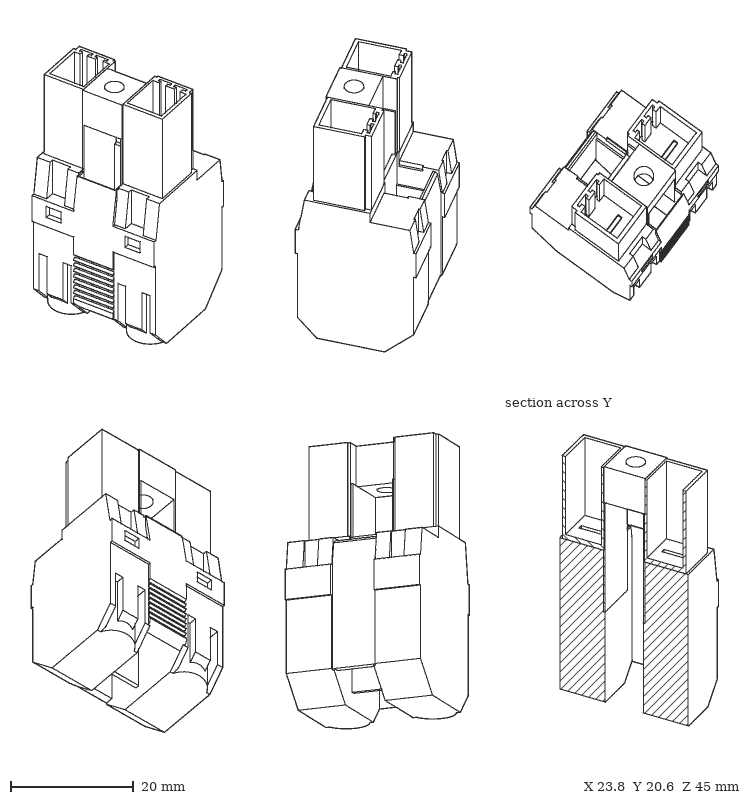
import cadquery as cq
housing_width = 23.75
total_height = 45.0
insert_width = 7.65
channel_half = insert_width / 2
tower_outer_x = channel_half + insert_width
tower_axis_x = insert_width
gap_half = 3.5

cap_z = 29.15
seat_z = 28.85
cross_wall_z = 29.05
rear_top_z = 27.25
band_top_z = 22.45
band_bottom_z = 17.35
window_top_z = 38.12

band_y = 10.3
module_y = 9.9
front_cap_y = -8.75
front_ledge_y = -9.75
rear_cap_y = 9.25
step_y = 2.48
front_chamfer_y = -6.6
front_chamfer_z = 3.65
rear_chamfer = 4.95

panel_inner_y = -9.1
panel_slope_y = -9.23
panel_bottom_z = 2.85
panel_lip_y = -10.0
panel_lip_z = 3.8
panel_round_z = 4.5
grip_top_z = 13.8
grip_pitch = 1.1
grip_tooth_count = 7
grip_valley_height = 0.3
rear_wall_outer_y = 9.68
rear_wall_shoulder_y = 9.1
rear_wall_crest_y = 8.65
rear_wall_inner_y = 8.3
rear_wall_shoulder_z = 26.35
rear_wall_top_z = 26.8

cross_wall_front_y = 1.45
cross_wall_back_y = 2.15
recess_half = 4.25
recess_back_y = 6.53
recess_floor_z = 26.35

boss_radius = 3.85
boss_front_y = -8.9
boss_axis_y = boss_front_y + boss_radius
groove_top_z = 11.05
groove_width = 1.55
groove_spacing = 4.7
front_notch_width = 3.45
front_notch_y = -8.0
rear_notch_width = 2.55
rear_notch_y = 9.05
latch_width = 2.93
latch_height = 2.2
latch_bottom_z = 19.17
latch_depth = 0.95

tower_front_y = -7.3
tower_corner_x = 0.45
tower_corner_y = 1.05
cavity_outer_x = 10.85
cavity_inner_x = 4.25
cavity_front_y = -6.55
cavity_outer_back_y = 0.7
cavity_inner_back_y = 1.0
floor_thickness = 0.9
key_front_y = 0.85
key_width = 1.65
slot_neck_y = 1.45
slot_back_y = 1.9
slot_head_width = 2.3
slot_pitch = 2.95
slot_neck_inner_x = 5.5
slot_neck_outer_x = 9.7
contact_slot_width = 4.4
contact_slot_thickness = 0.75
contact_slot_y = -3.15

block_front_y = -7.55
block_back_y = -0.23
leg_back_y = 1.9
leg_bottom_z = band_bottom_z
screw_hole_radius = 1.6
screw_hole_y = -3.95


def box(x0, x1, y0, y1, z0, z1):
    """Box between two opposite corners."""
    return cq.Workplane("XY").box(x1 - x0, y1 - y0, z1 - z0, centered=False).translate((x0, y0, z0))


def sided_box(side, x_inner, x_outer, y0, y1, z0, z1):
    """Box on one side of the part: side is -1 or 1, x distances are from the middle."""
    x0, x1 = sorted((side * x_inner, side * x_outer))
    return box(x0, x1, y0, y1, z0, z1)


def extrude_along_x(sketch, x0, x1):
    """Solid from a closed (Y, Z) outline."""
    return sketch.extrude(x1 - x0).translate((x0, 0, 0))


def module(side):
    outline = cq.Workplane("YZ").polyline([
        (front_chamfer_y, 0),
        (-module_y, front_chamfer_z),
        (-module_y, band_bottom_z),
        (-band_y, band_bottom_z),
        (-band_y, band_top_z),
        (front_ledge_y, band_top_z),
        (front_cap_y, cap_z),
        (step_y, cap_z),
        (step_y, rear_top_z),
        (rear_cap_y, rear_top_z),
        (module_y, band_top_z),
        (band_y, band_top_z),
        (band_y, band_bottom_z),
        (module_y, band_bottom_z),
        (module_y, rear_chamfer),
        (module_y - rear_chamfer, 0),
    ]).close()
    x0, x1 = sorted((side * gap_half, side * housing_width / 2))
    body = extrude_along_x(outline, x0, x1)
    axis_x = side * tower_axis_x

    body = body.cut(sided_box(side, 0, channel_half, -band_y, cross_wall_back_y, seat_z, cap_z))
    body = body.cut(sided_box(side, 0, channel_half, cross_wall_back_y, band_y, band_top_z, cap_z))
    body = body.cut(sided_box(side, 0, channel_half, rear_wall_outer_y, band_y, 0, cap_z))
    body = body.cut(sided_box(side, 0, channel_half, block_front_y, leg_back_y, leg_bottom_z, cap_z))
    body = body.cut(sided_box(side, 0, recess_half, step_y, recess_back_y, recess_floor_z, rear_top_z))

    half = front_notch_width / 2
    body = body.cut(box(axis_x - half, axis_x + half, -band_y, front_notch_y, band_top_z, cap_z))
    half = rear_notch_width / 2
    body = body.cut(box(axis_x - half, axis_x + half, rear_notch_y, band_y, band_top_z, cap_z))

    half = latch_width / 2
    latch_top_z = latch_bottom_z + latch_height
    body = body.cut(
        box(axis_x - half, axis_x + half, -band_y, latch_depth - band_y, latch_bottom_z, latch_top_z)
    )

    for direction in (-1, 1):
        groove_x = axis_x + direction * groove_spacing / 2
        half = groove_width / 2
        body = body.cut(box(groove_x - half, groove_x + half, -band_y, boss_axis_y, 0, groove_top_z))
    boss = cq.Workplane("XY").center(axis_x, boss_axis_y).circle(boss_radius).extrude(groove_top_z)
    return body.union(boss)


def front_panel():
    """Panel joining the modules at the front, with a toothed grip."""
    slope_height = (grip_pitch - grip_valley_height) / 2
    first_valley_z = grip_top_z - slope_height
    outline = (
        cq.Workplane("YZ")
        .moveTo(panel_inner_y, panel_bottom_z)
        .lineTo(panel_inner_y, seat_z)
        .lineTo(panel_slope_y, seat_z)
        .lineTo(-band_y, band_top_z)
        .lineTo(-band_y, grip_top_z)
        .lineTo(-module_y, first_valley_z)
    )
    for tooth in range(grip_tooth_count):
        valley_bottom_z = first_valley_z - tooth * grip_pitch - grip_valley_height
        tooth_tip_z = valley_bottom_z - slope_height
        outline = outline.lineTo(-module_y, valley_bottom_z)
        outline = outline.lineTo(-band_y, tooth_tip_z)
        outline = outline.lineTo(-module_y, tooth_tip_z - slope_height)
    last_valley_bottom_z = first_valley_z - grip_tooth_count * grip_pitch - grip_valley_height
    outline = (
        outline.lineTo(-module_y, last_valley_bottom_z)
        .lineTo(-band_y, last_valley_bottom_z - slope_height)
        .lineTo(-band_y, panel_round_z)
        .tangentArcPoint((panel_lip_y, panel_lip_z), relative=False)
        .close()
    )
    return extrude_along_x(outline, -channel_half, channel_half)


def rear_wall():
    outline = cq.Workplane("YZ").polyline([
        (rear_wall_inner_y, rear_chamfer),
        (rear_wall_outer_y, rear_chamfer),
        (rear_wall_outer_y, band_top_z),
        (rear_wall_shoulder_y, rear_wall_shoulder_z),
        (rear_wall_crest_y, rear_wall_top_z),
        (rear_wall_inner_y, rear_wall_top_z),
    ]).close()
    return extrude_along_x(outline, -channel_half, channel_half)


def cross_wall():
    """Wall between the modules, behind the screw block, with a wider back edge."""
    web = box(-gap_half, gap_half, cross_wall_front_y, cross_wall_back_y, panel_bottom_z, cross_wall_z)
    edge = box(-channel_half, channel_half, leg_back_y, cross_wall_back_y, seat_z, cross_wall_z)
    return web.union(edge)


def make_housing():
    body = front_panel().union(rear_wall()).union(cross_wall())
    for side in (-1, 1):
        body = body.union(module(side))
    return body.clean()


def tower_cavity(side):
    """Socket with two T slots in its back wall."""
    floor_z = cap_z + floor_thickness
    half_head = slot_head_width / 2
    inner_head_x = tower_axis_x - slot_pitch / 2
    outer_head_x = tower_axis_x + slot_pitch / 2
    key_inner_x = tower_axis_x - key_width / 2
    key_outer_x = tower_axis_x + key_width / 2
    outline = [
        (cavity_inner_x, cavity_front_y),
        (cavity_inner_x, cavity_inner_back_y),
        (slot_neck_inner_x, cavity_inner_back_y),
        (slot_neck_inner_x, slot_neck_y),
        (inner_head_x - half_head, slot_neck_y),
        (inner_head_x - half_head, slot_back_y),
        (inner_head_x + half_head, slot_back_y),
        (inner_head_x + half_head, slot_neck_y),
        (key_inner_x, slot_neck_y),
        (key_inner_x, key_front_y),
        (key_outer_x, key_front_y),
        (key_outer_x, slot_neck_y),
        (outer_head_x - half_head, slot_neck_y),
        (outer_head_x - half_head, slot_back_y),
        (outer_head_x + half_head, slot_back_y),
        (outer_head_x + half_head, slot_neck_y),
        (slot_neck_outer_x, slot_neck_y),
        (slot_neck_outer_x, cavity_outer_back_y),
        (cavity_outer_x, cavity_outer_back_y),
        (cavity_outer_x, cavity_front_y),
    ]
    return (
        cq.Workplane("XY", origin=(0, 0, floor_z))
        .polyline([(side * x, y) for x, y in outline])
        .close()
        .extrude(total_height - floor_z)
    )


def make_tower(side):
    body = sided_box(side, channel_half, tower_outer_x, tower_front_y, step_y, cap_z, total_height)
    body = body.cut(
        sided_box(side, tower_outer_x - tower_corner_x, tower_outer_x,
                  step_y - tower_corner_y, step_y, cap_z, total_height)
    )
    body = body.cut(sided_box(side, channel_half, recess_half, cross_wall_back_y, step_y, cap_z, total_height))
    body = body.cut(tower_cavity(side))
    contact_slot = (
        cq.Workplane("XY")
        .box(contact_slot_width, contact_slot_thickness, floor_thickness, centered=(True, True, False))
        .translate((side * tower_axis_x, contact_slot_y, cap_z))
    )
    return body.cut(contact_slot)


def make_screw_block():
    body = box(-channel_half, channel_half, block_front_y, block_back_y, window_top_z, total_height)
    for side in (-1, 1):
        body = body.union(
            sided_box(side, gap_half, channel_half, block_front_y, leg_back_y, leg_bottom_z, window_top_z)
        )
    hole = (
        cq.Workplane("XY")
        .center(0, screw_hole_y)
        .circle(screw_hole_radius)
        .extrude(total_height)
    )
    return body.cut(hole)


housing = make_housing()
screw_block = make_screw_block()
towers = [make_tower(side) for side in (-1, 1)]

result = cq.Compound.makeCompound([
    housing.val(),
    screw_block.val(),
    *[tower.val() for tower in towers],
])